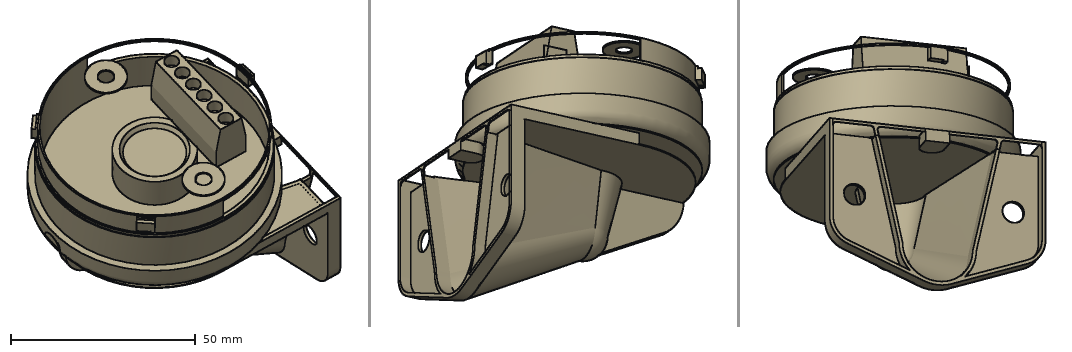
import cadquery as cq
import math

WALL = 1.0
THIN_SKIN = 0.3

flange_radius = 34.5
flange_height = 8.4
flange_round = 3.7
body_radius = 32.5
body_top = 20.8
shoulder_radius = 32.2
shoulder_height = 0.9
collar_radius = 31.7
inner_radius = 31.15
housing_top = 27.7
rim_height = 0.5
floor_top = 8.85
boss_radius = 11.5
boss_top = 18.55
dish_top_radius = 9.55
dish_bottom_radius = 8.6
dish_depth = 1.25
arch_radius = 3.45
arch_bottom = 2.9
arch_depth = 0.4

lug_angles = (94.4, -40.2, -130.7)
lug_width = 4.9
lug_outer = 33.3
lug_bottom = 23.3
lug_height = 3.45
hook_width = 1.1
hook_drop = 0.4

washer_offset = 22.5
washer_radius = 5.8
washer_hole_radius = 2.3

block_bottom = boss_top
block_half_length = 14.95
block_top = 33.3
block_bend = 24.7
block_front = 9.7
block_back = 19.7
block_top_front = 11.2
block_top_back = 18.2
terminal_count = 6
terminal_pitch = 5.0
terminal_radius = 2.0
terminal_depth = 3.9
terminal_y = (block_top_front + block_top_back) / 2
end_plate_front = 13.7
end_plate_back = 20.65
end_plate_top = 27.2
end_plate_thickness = 0.15

half_width = 30.7
back = 40.0
plate_thickness = 4.3
plate_front = back - plate_thickness
shelf_bottom = -3.45
bar_height = 0.85
plate_corner_z = -33.9
plate_apex_z = -45.7
plate_corner_radius = 7.9
plate_apex_radius = 10.95
screw_x = 22.5
screw_z = -20.0
screw_radius = 3.05
window_round = 0.9
cable_half_width = 3.45
cable_end_y = 34.8

gusset_half_top = 17.7
gusset_low_z = plate_apex_z + plate_apex_radius / math.cos(
    math.atan2(plate_corner_z - plate_apex_z, half_width)
)
nose_radius_top = 10.2
nose_top_y = -0.6
nose_radius_low = 6.9
nose_low_z = -19.1

fin_half_thickness = 1.5
fin_root_y = -2.35
fin_tip_y = -30.8
fin_arc_end = (-26.1, -12.6)
fin_arc_middle = (-29.4, -8.6)
fin_low_end = (-4.45, -23.8)


def cylinder(radius, bottom, top):
    return cq.Workplane("XY", origin=(0, 0, bottom)).circle(radius).extrude(top - bottom)


def box(x0, x1, y0, y1, z0, z1):
    size_x, size_y, size_z = x1 - x0, y1 - y0, z1 - z0
    return cq.Workplane("XY").box(size_x, size_y, size_z, centered=False).translate((x0, y0, z0))


def make_lug(angle):
    half = lug_width / 2
    root = box(inner_radius, shoulder_radius, -half, half, lug_bottom, housing_top - rim_height / 2)
    pad = box(collar_radius, lug_outer, -half, half, lug_bottom, lug_bottom + lug_height)
    hook = box(collar_radius, lug_outer, half - hook_width, half, lug_bottom - hook_drop, lug_bottom)
    lug = root.union(pad).union(hook)
    return lug.rotate((0, 0, 0), (0, 0, 1), angle)


def make_housing():
    flange = cylinder(flange_radius, 0, flange_height).faces("<Z").edges().fillet(flange_round)
    shell = flange.union(cylinder(body_radius, 0, body_top - shoulder_height))
    shell = shell.union(cylinder(shoulder_radius, 0, body_top))
    shell = shell.union(cylinder(collar_radius, 0, housing_top))
    shell = shell.cut(cylinder(inner_radius, floor_top, housing_top))

    rear_opening = box(
        -flange_radius, flange_radius, 0, flange_radius, body_top, housing_top - rim_height
    )
    shell = shell.cut(rear_opening)

    dish = (
        cq.Workplane("XY", origin=(0, 0, boss_top - dish_depth))
        .circle(dish_bottom_radius)
        .workplane(offset=dish_depth)
        .circle(dish_top_radius)
        .loft()
    )
    shell = shell.union(cylinder(boss_radius, floor_top, boss_top).cut(dish))

    arch = (
        cq.Workplane("XZ", origin=(0, -flange_radius + arch_depth, arch_bottom))
        .moveTo(-arch_radius, 0)
        .threePointArc((0, arch_radius), (arch_radius, 0))
        .close()
        .extrude(2 * arch_depth)
    )
    shell = shell.cut(arch)
    for angle in lug_angles:
        shell = shell.union(make_lug(angle))
    return shell


def make_washer(x):
    washer = cylinder(washer_radius, housing_top - rim_height, housing_top)
    hole = cylinder(washer_hole_radius, housing_top - rim_height, housing_top)
    return washer.cut(hole).translate((x, 0, 0))


def make_terminal_block():
    profile = [
        (block_front, block_bottom),
        (block_front, block_bend),
        (block_top_front, block_top),
        (block_top_back, block_top),
        (block_back, block_bend),
        (block_back, block_bottom),
    ]
    block = cq.Workplane("YZ").polyline(profile).close().extrude(block_half_length, both=True)
    first_x = -terminal_pitch * (terminal_count - 1) / 2
    for i in range(terminal_count):
        hole = cylinder(terminal_radius, block_top - terminal_depth, block_top)
        block = block.cut(hole.translate((first_x + i * terminal_pitch, terminal_y, 0)))
    end_plate = box(
        -block_half_length - end_plate_thickness,
        -block_half_length,
        end_plate_front,
        end_plate_back,
        block_bottom,
        end_plate_top,
    )
    return block.union(end_plate)


def plate_blank(inset, depth):
    """Pentagonal plate with rounded lower corners, extruded forward from the back face."""
    slope = math.atan2(plate_corner_z - plate_apex_z, half_width)
    side = half_width - inset
    apex = plate_apex_z + inset / math.cos(slope)
    corner = apex + side * math.tan(slope)
    outline = [(-side, 0), (side, 0), (side, corner), (0, apex), (-side, corner)]
    blank = cq.Workplane("XZ", origin=(0, back, 0)).polyline(outline).close().extrude(depth)
    blank = blank.edges("|Y and <Z").fillet(plate_apex_radius - inset)
    lower_corners = cq.selectors.BoxSelector(
        (-half_width - 0.8, 0, corner - 0.8), (half_width + 0.8, back + 0.8, corner + 0.8)
    )
    return blank.edges("|Y").edges(lower_corners).fillet(plate_corner_radius - inset)


def u_wire(y, half_top, radius, low_z):
    return (
        cq.Workplane("XZ", origin=(0, y, 0))
        .moveTo(-half_top, shelf_bottom)
        .lineTo(half_top, shelf_bottom)
        .lineTo(radius, low_z)
        .threePointArc((0, low_z - radius), (-radius, low_z))
        .close()
        .val()
    )


def solid_between(first, second):
    return cq.Workplane(cq.Solid.makeLoft([first, second], True))


def gusset_blank(inset):
    """Gusset solid, made smaller all round by the inset, running back through the plate."""
    plate_u = (gusset_half_top - inset, plate_apex_radius - inset, gusset_low_z)
    nose_u = (nose_radius_top - inset, nose_radius_low - inset, nose_low_z)
    trough = solid_between(u_wire(plate_front, *plate_u), u_wire(0, *nose_u))
    rear = solid_between(u_wire(back, *plate_u), u_wire(plate_front, *plate_u))
    up = cq.Vector(0, 0, 1)
    nose = solid_between(
        cq.Wire.makeCircle(nose_radius_top - inset, cq.Vector(0, nose_top_y, shelf_bottom), up),
        cq.Wire.makeCircle(nose_radius_low - inset, cq.Vector(0, 0, nose_low_z), up),
    )
    tip = cq.Workplane("XY", origin=(0, 0, nose_low_z)).sphere(nose_radius_low - inset)
    return trough.union(rear).union(nose).union(tip)


def make_fin():
    return (
        cq.Workplane("YZ")
        .moveTo(fin_root_y, shelf_bottom)
        .lineTo(fin_tip_y, shelf_bottom)
        .threePointArc(fin_arc_middle, fin_arc_end)
        .lineTo(*fin_low_end)
        .lineTo(fin_root_y, fin_low_end[1])
        .close()
        .extrude(fin_half_thickness, both=True)
    )


def make_back_frame():
    """Thin frame with three windows above the shelf, along the back edge."""
    frame = box(-half_width, half_width, back - THIN_SKIN, back, shelf_bottom, 0)
    lean = (gusset_half_top - plate_apex_radius) / (shelf_bottom - gusset_low_z)
    rise = -bar_height - shelf_bottom
    outer_low = gusset_half_top
    inner_low = gusset_half_top - WALL
    side = half_width - WALL
    inner_high = inner_low + lean * rise
    outer_high = outer_low + lean * rise
    outlines = [[(-inner_low, 0), (inner_low, 0), (inner_high, rise), (-inner_high, rise)]]
    for sign in (-1, 1):
        outlines.append(
            [
                (sign * outer_low, 0),
                (sign * side, 0),
                (sign * side, rise),
                (sign * outer_high, rise),
            ]
        )
    for outline in outlines:
        window = (
            cq.Workplane("XZ", origin=(0, back, shelf_bottom))
            .polyline(outline)
            .close()
            .extrude(THIN_SKIN)
            .faces(">Z")
            .edges("|Y")
            .fillet(window_round)
        )
        frame = frame.cut(window)
    return frame


def make_bracket():
    plate = plate_blank(0, plate_thickness)
    plate = plate.cut(plate_blank(WALL, plate_thickness - WALL))
    plate = plate.cut(box(-half_width, half_width, 0, back, shelf_bottom, 0))

    floor_height = shelf_bottom + THIN_SKIN
    shelf = box(-half_width, half_width, 0, plate_front + WALL, shelf_bottom, floor_height)
    shelf = shelf.union(cylinder(half_width, shelf_bottom, floor_height))
    for x in (-half_width, half_width - WALL):
        shelf = shelf.union(box(x, x + WALL, 0, back, shelf_bottom, 0))

    bracket = plate.union(shelf).union(gusset_blank(0)).union(make_fin())
    cavity = gusset_blank(WALL)
    mouth = cavity.faces(">Z").wires().toPending().extrude(THIN_SKIN)
    bracket = bracket.cut(cavity).cut(mouth)

    for x in (-screw_x, screw_x):
        hole = cq.Workplane("XZ", origin=(x, back, screw_z)).circle(screw_radius)
        bracket = bracket.cut(hole.extrude(plate_thickness))

    guide = box(-cable_half_width, cable_half_width, cable_end_y, back, shelf_bottom, 0)
    guide = guide.union(cylinder(cable_half_width, shelf_bottom, 0).translate((0, cable_end_y, 0)))
    return bracket.union(make_back_frame()).union(guide)


bracket = make_bracket()
housing = make_housing()
terminal_block = make_terminal_block()
washers = [make_washer(x) for x in (-washer_offset, washer_offset)]

result = cq.Compound.makeCompound(
    [bracket.val(), housing.val(), terminal_block.val(), *[washer.val() for washer in washers]]
)